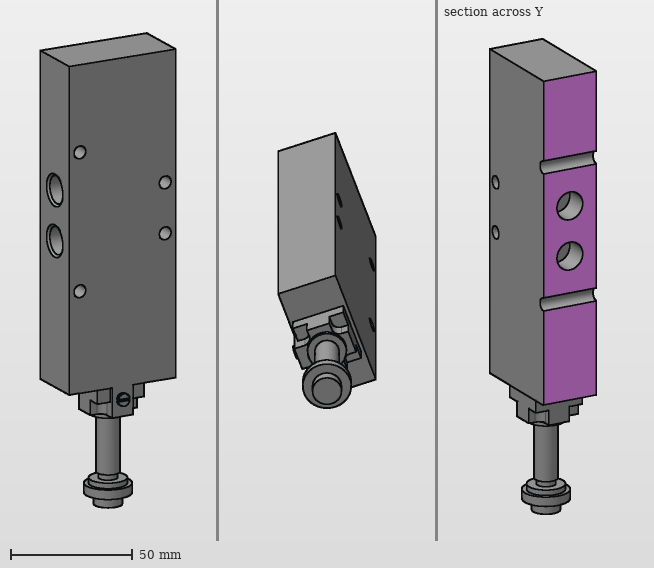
import cadquery as cq

TOTAL_HEIGHT = 196.0
BLOCK_X = 25.0
BLOCK_Y = 50.0
BLOCK_HEIGHT = 142.0
BLOCK_BOTTOM = TOTAL_HEIGHT - BLOCK_HEIGHT

PORT_GROUP_Z = 128.2
PORT_DIAMETER = 12.0
PORT_CHAMFER = 1.0
PORT_DEPTH = 15.7
PORT_HALF_PITCH = 11.0
MOUNT_DIAMETER = 5.5
MOUNT_OFFSET_Y = 20.0
FRONT_MOUNT_HALF_PITCH = 30.0
REAR_MOUNT_HALF_PITCH = PORT_HALF_PITCH

ADAPTER_SIDE = 22.0
ADAPTER_HEIGHT = 13.0
ADAPTER_BOTTOM = BLOCK_BOTTOM - ADAPTER_HEIGHT
NOTCH_SIDE = 6.0
NOTCH_HEIGHT = ADAPTER_HEIGHT / 2
NOTCH_RADIUS = 3.1
PAD_WIDTH = ADAPTER_SIDE - 2 * NOTCH_SIDE

OVERRIDE_DIAMETER = 5.5
OVERRIDE_LENGTH = 1.4
OVERRIDE_Z = BLOCK_BOTTOM - 5.5
SLOT_WIDTH = 1.0

COLLAR_DIAMETER = 16.0
COLLAR_HEIGHT = 1.8
TUBE_DIAMETER = 10.0
TUBE_LENGTH = 25.5
NECK_DIAMETER = 8.0
NECK_LENGTH = 2.5

SHOULDER_DIAMETER = 16.0
SHOULDER_HEIGHT = 2.4
RIM_DIAMETER = 20.0
RIM_HEIGHT = 4.1
STUB_DIAMETER = 12.0
NECK_BOTTOM = ADAPTER_BOTTOM - COLLAR_HEIGHT - TUBE_LENGTH - NECK_LENGTH
STUB_HEIGHT = NECK_BOTTOM - SHOULDER_HEIGHT - RIM_HEIGHT


def stacked_discs(top, discs):
    """Join coaxial discs, given as (diameter, height), downward from top."""
    stack = cq.Workplane("XY")
    for diameter, height in discs:
        stack = stack.union(cq.Workplane("XY").workplane(offset=top).circle(diameter / 2).extrude(-height))
        top -= height
    return stack


def make_port(z):
    """Chamfered blind port entering the -Y face."""
    face = cq.Workplane("XZ", origin=(0, -BLOCK_Y / 2, z))
    bore = face.circle(PORT_DIAMETER / 2).extrude(-PORT_DEPTH)
    mouth = (
        face.circle(PORT_DIAMETER / 2 + PORT_CHAMFER)
        .workplane(offset=-PORT_CHAMFER)
        .circle(PORT_DIAMETER / 2)
        .loft()
    )
    return bore.union(mouth)


def make_block():
    block = cq.Workplane("XY").box(BLOCK_X, BLOCK_Y, BLOCK_HEIGHT, centered=(True, True, False))
    block = block.translate((0, 0, BLOCK_BOTTOM))
    mount_points = []
    for side in (-1, 1):
        block = block.cut(make_port(PORT_GROUP_Z + side * PORT_HALF_PITCH))
        mount_points.append((-MOUNT_OFFSET_Y, PORT_GROUP_Z + side * FRONT_MOUNT_HALF_PITCH))
        mount_points.append((MOUNT_OFFSET_Y, PORT_GROUP_Z + side * REAR_MOUNT_HALF_PITCH))
    mounts = cq.Workplane("YZ").pushPoints(mount_points).circle(MOUNT_DIAMETER / 2)
    return block.cut(mounts.extrude(BLOCK_X, both=True))


def make_adapter():
    """Square adapter with four rounded corner notches and a pad on +X."""
    base = cq.Workplane("XY").workplane(offset=ADAPTER_BOTTOM)
    adapter = base.rect(ADAPTER_SIDE, ADAPTER_SIDE).extrude(ADAPTER_HEIGHT)
    corners = base.rect(ADAPTER_SIDE, ADAPTER_SIDE, forConstruction=True).vertices()
    notches = corners.rect(2 * NOTCH_SIDE, 2 * NOTCH_SIDE).extrude(NOTCH_HEIGHT)
    adapter = adapter.cut(notches.edges("|Z").fillet(NOTCH_RADIUS))
    pad_length = BLOCK_X / 2
    pad = base.center(pad_length / 2, 0).rect(pad_length, PAD_WIDTH).extrude(ADAPTER_HEIGHT)
    return adapter.union(pad)


def make_override():
    face = cq.Workplane("YZ", origin=(BLOCK_X / 2, 0, OVERRIDE_Z))
    button = face.circle(OVERRIDE_DIAMETER / 2).extrude(OVERRIDE_LENGTH)
    slot = face.rect(OVERRIDE_DIAMETER, SLOT_WIDTH).extrude(OVERRIDE_LENGTH)
    return button.cut(slot)


def make_valve():
    tube = stacked_discs(
        ADAPTER_BOTTOM,
        [(COLLAR_DIAMETER, COLLAR_HEIGHT), (TUBE_DIAMETER, TUBE_LENGTH), (NECK_DIAMETER, NECK_LENGTH)],
    )
    return make_block().union(make_adapter()).union(make_override()).union(tube)


def make_nut():
    return stacked_discs(
        NECK_BOTTOM,
        [(SHOULDER_DIAMETER, SHOULDER_HEIGHT), (RIM_DIAMETER, RIM_HEIGHT), (STUB_DIAMETER, STUB_HEIGHT)],
    )


valve = make_valve()
nut = make_nut()
result = cq.Compound.makeCompound([valve.solids().val(), nut.solids().val()])